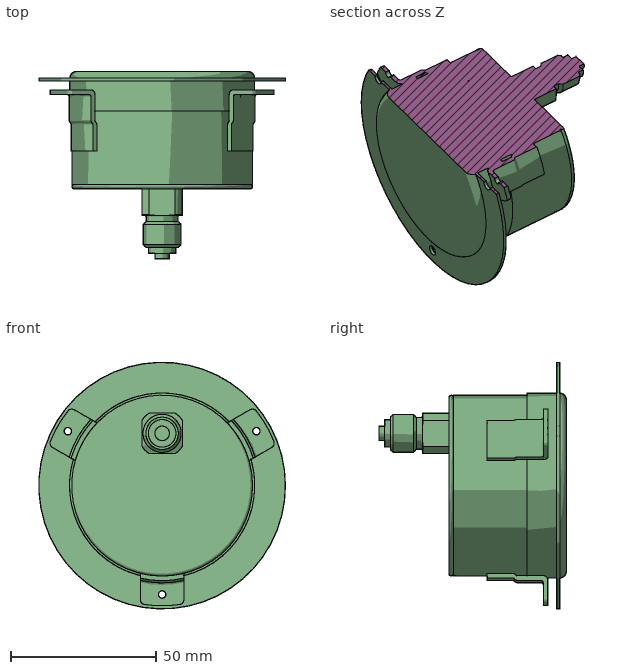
import cadquery as cq
import math


bezel_diameter = 63.8
bezel_depth = 13.6
bezel_round = 2.5
case_diameter = 62.3
case_depth = 40.5
rim_width = 1.5

flange_diameter = 85.0
flange_front = 2.3
flange_thickness = 1.1
flange_hole_diameter = 3.5

clip_angles = (0, 120, 240)
clip_width = 15.0
clip_thickness = 1.6
clip_front = 6.4
clip_depth = 27.4
clip_tip_radius = 41.4
clip_corner_radius = 1.75
clip_bend_radius = 1.6
clip_inner_bend_radius = 0.8
joggle_start = 17.2
joggle_end = 18.2
joggle_round = 0.8
clip_hole_diameter = 2.46
mounting_circle_radius = 37.5

stem_height = 18.0
total_depth = 64.62
wrench_across_flats = 14.0
wrench_bar_diameter = 16.6
wrench_face_diameter = 13.8
wrench_chamfer_angle = 12.0
wrench_end = 49.7
neck_diameter = 11.0
neck_fillet = 0.4
neck_end = 51.7
thread_diameter = 13.16
thread_lead_in = 1.0
thread_end = 60.7
pilot_diameter = 9.5
pilot_end = 62.7
tip_diameter = 5.0


def disc(diameter, start, end):
    """Cylinder on the case axis between two depths."""
    return cq.Workplane("XZ", origin=(0, -start, 0)).circle(diameter / 2).extrude(end - start)


def revolve_about_y(profile):
    """Full turn of a closed (radius, Y) profile about the Y axis."""
    return profile.close().revolve(360, (0, 0, 0), (0, 1, 0))


def make_case():
    """Rounded bezel, slimmer barrel and a rear rim with a half-round edge."""
    bezel = disc(bezel_diameter, 0, bezel_depth).faces(">Y").edges().fillet(bezel_round)
    barrel = disc(case_diameter, bezel_depth, case_depth - rim_width)
    rim_radius = rim_width / 2
    rim = revolve_about_y(
        cq.Workplane("XY")
        .moveTo(0, -case_depth + rim_width)
        .lineTo(case_diameter / 2 - rim_radius, -case_depth + rim_width)
        .radiusArc((case_diameter / 2 - rim_radius, -case_depth), rim_radius)
        .lineTo(0, -case_depth)
    )
    return bezel.union(barrel).union(rim)


def make_flange():
    """Thin panel ring with one screw hole behind each clip."""
    flange_back = flange_front + flange_thickness
    flange = disc(flange_diameter, flange_front, flange_back)
    for angle in clip_angles:
        hole = disc(flange_hole_diameter, flange_front, flange_back)
        hole = hole.translate((0, 0, -mounting_circle_radius))
        flange = flange.cut(hole.rotate((0, 0, 0), (0, 1, 0), angle))
    return flange


def make_clip():
    """Bent clip at the bottom of the case: outward tab, leg over the bezel, joggle onto the case."""
    bezel_radius = bezel_diameter / 2
    case_radius = case_diameter / 2
    tab_back = clip_front + clip_thickness
    leg_outer_radius = bezel_radius + clip_thickness
    bend_offset = clip_bend_radius * (1 - math.sqrt(0.5))
    inner_bend_offset = clip_inner_bend_radius * (1 - math.sqrt(0.5))
    profile = (
        cq.Workplane("XY")
        .moveTo(clip_tip_radius, -clip_front)
        .lineTo(bezel_radius + clip_bend_radius, -clip_front)
        .threePointArc(
            (bezel_radius + bend_offset, -clip_front - bend_offset),
            (bezel_radius, -clip_front - clip_bend_radius),
        )
        .lineTo(bezel_radius, -joggle_start)
        .lineTo(case_radius, -joggle_end)
        .lineTo(case_radius, -clip_depth)
        .lineTo(case_radius + clip_thickness, -clip_depth)
        .lineTo(case_radius + clip_thickness, -joggle_end)
        .lineTo(leg_outer_radius, -joggle_start)
        .lineTo(leg_outer_radius, -tab_back - clip_inner_bend_radius)
        .threePointArc(
            (leg_outer_radius + inner_bend_offset, -tab_back - inner_bend_offset),
            (leg_outer_radius + clip_inner_bend_radius, -tab_back),
        )
        .lineTo(clip_tip_radius, -tab_back)
    )
    strip = (
        cq.Workplane("XZ", origin=(0, -clip_front, 0))
        .rect(clip_width, clip_tip_radius, centered=(True, False))
        .extrude(clip_depth - clip_front)
        .mirror("XY")
    )
    clip = revolve_about_y(profile).intersect(strip)
    margin = 1.0
    outer_joggle_edges = cq.selectors.BoxSelector(
        (-margin, -joggle_end - margin, -leg_outer_radius),
        (margin, -joggle_start + margin, -case_radius - clip_thickness / 2),
    )
    clip = clip.edges(outer_joggle_edges).fillet(joggle_round)
    tip_corners = cq.selectors.BoxSelector(
        (-clip_width, 0, -clip_tip_radius - margin),
        (clip_width, -tab_back, -mounting_circle_radius),
    )
    clip = clip.edges("|Y").edges(tip_corners).fillet(clip_corner_radius)
    hole = disc(clip_hole_diameter, clip_front, tab_back).translate((0, 0, -mounting_circle_radius))
    return clip.cut(hole)


def make_wrench_block():
    """Square block with rounded corners, its end face turned to a shallow cone."""
    bar_radius = wrench_bar_diameter / 2
    face_radius = wrench_face_diameter / 2
    cone_depth = (bar_radius - face_radius) * math.tan(math.radians(wrench_chamfer_angle))
    turned_bar = revolve_about_y(
        cq.Workplane("XY")
        .moveTo(0, -case_depth)
        .lineTo(bar_radius, -case_depth)
        .lineTo(bar_radius, -wrench_end + cone_depth)
        .lineTo(face_radius, -wrench_end)
        .lineTo(0, -wrench_end)
    )
    square = (
        cq.Workplane("XZ", origin=(0, -case_depth, 0))
        .rect(wrench_across_flats, wrench_across_flats)
        .extrude(wrench_end - case_depth)
    )
    return turned_bar.intersect(square)


def make_spigot():
    """Turned end of the connection: neck, thread body, pilot and tip."""
    neck_radius = neck_diameter / 2
    thread_radius = thread_diameter / 2
    pilot_radius = pilot_diameter / 2
    tip_radius = tip_diameter / 2
    lead_in_radius = thread_radius - thread_lead_in
    return revolve_about_y(
        cq.Workplane("XY")
        .moveTo(0, -wrench_end)
        .lineTo(neck_radius + neck_fillet, -wrench_end)
        .radiusArc((neck_radius, -wrench_end - neck_fillet), -neck_fillet)
        .lineTo(neck_radius, -neck_end)
        .lineTo(thread_radius, -neck_end - (thread_radius - neck_radius))
        .lineTo(thread_radius, -thread_end + thread_lead_in)
        .lineTo(lead_in_radius, -thread_end)
        .lineTo(pilot_radius, -thread_end)
        .lineTo(pilot_radius, -pilot_end)
        .lineTo(tip_radius, -pilot_end)
        .lineTo(tip_radius, -total_depth)
        .lineTo(0, -total_depth)
    )


gauge = make_case().union(make_flange())
clip = make_clip()
for angle in clip_angles:
    gauge = gauge.union(clip.rotate((0, 0, 0), (0, 1, 0), angle))
connection = make_wrench_block().union(make_spigot())
result = gauge.union(connection.translate((0, 0, stem_height)))